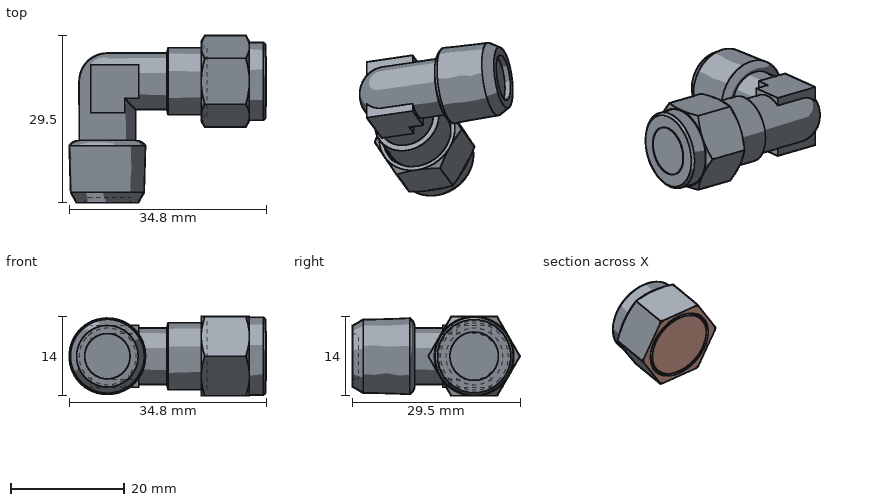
import cadquery as cq
import math


tube_radius = 5.0

pad_half_height = 5.5
pad_outer_corner = 2.95
pad_inner_corner = 3.03
pad_reach = 5.55

collar_start = 10.47
collar_radius = 5.95
collar_cone_length = 0.25

nut_start = 16.55
nut_end = 25.05
nut_across_flats = 14.0
nut_corner_diameter = nut_across_flats / math.cos(math.radians(30))
nut_chamfer_angle = 30
nose_radius = 6.9
nose_chamfer = 0.4
tip_radius = 4.28
tip_length = 0.1
nut_bore_radius = 6.3
nut_bore_depth = 1.0

spigot_start = 10.45
spigot_radius = 6.75
shoulder_arc_radius = 2.1
taper_end = 19.58
taper_end_radius = 6.5
spigot_end = 21.45
spigot_tip_radius = 5.43
recess_radius = 4.0
recess_depth = 1.0

overall_length = 34.78
tip_end = overall_length - spigot_radius
nose_end = tip_end - tip_length


def x_cylinder(radius, start, end):
    return cq.Workplane("YZ", origin=(start, 0, 0)).circle(radius).extrude(end - start)


def make_elbow():
    x_tube = x_cylinder(tube_radius, 0, collar_start)
    y_tube = cq.Workplane("XZ").circle(tube_radius).extrude(spigot_start)
    return x_tube.union(y_tube).union(cq.Workplane("XY").sphere(tube_radius))


def make_pads():
    outline = [
        (-pad_outer_corner, pad_outer_corner),
        (pad_reach, pad_outer_corner),
        (pad_reach, -pad_inner_corner),
        (pad_inner_corner, -pad_inner_corner),
        (pad_inner_corner, -pad_reach),
        (-pad_outer_corner, -pad_reach),
    ]
    return cq.Workplane("XY").polyline(outline).close().extrude(pad_half_height, both=True)


def make_nut():
    flat_radius = nut_across_flats / 2
    corner_radius = nut_corner_diameter / 2
    chamfer_length = (corner_radius - flat_radius) * math.tan(math.radians(nut_chamfer_angle))
    hexagon = (
        cq.Workplane("YZ", origin=(nut_start, 0, 0))
        .polygon(6, nut_corner_diameter)
        .extrude(nut_end - nut_start)
    )
    cone_outline = [
        (nut_start, 0),
        (nut_start, flat_radius),
        (nut_start + chamfer_length, corner_radius),
        (nut_end - chamfer_length, corner_radius),
        (nut_end, flat_radius),
        (nut_end, 0),
    ]
    cones = cq.Workplane("XY").polyline(cone_outline).close().revolve(360, (0, 0, 0), (1, 0, 0))
    nose = x_cylinder(nose_radius, nut_end, nose_end).faces(">X").chamfer(nose_chamfer)
    tip = x_cylinder(tip_radius, nose_end, tip_end)
    bore = x_cylinder(nut_bore_radius, nut_start, nut_start + nut_bore_depth)
    return hexagon.intersect(cones).union(nose).union(tip).cut(bore)


def make_spigot():
    def shoulder_y(radius):
        return -spigot_start - shoulder_arc_radius + math.sqrt(
            shoulder_arc_radius**2 - (radius - tube_radius) ** 2
        )

    shoulder_middle = (tube_radius + spigot_radius) / 2
    body = (
        cq.Workplane("XY")
        .moveTo(0, -spigot_start)
        .lineTo(tube_radius, -spigot_start)
        .threePointArc(
            (shoulder_middle, shoulder_y(shoulder_middle)),
            (spigot_radius, shoulder_y(spigot_radius)),
        )
        .lineTo(taper_end_radius, -taper_end)
        .lineTo(spigot_tip_radius, -spigot_end)
        .lineTo(0, -spigot_end)
        .close()
        .revolve(360, (0, 0, 0), (0, 1, 0))
    )
    recess = (
        cq.Workplane("XZ", origin=(0, recess_depth - spigot_end, 0))
        .circle(recess_radius)
        .extrude(recess_depth)
    )
    return body.cut(recess)


def make_collar():
    outline = [
        (collar_start, 0),
        (collar_start, tube_radius),
        (collar_start + collar_cone_length, collar_radius),
        (nut_start + nut_bore_depth, collar_radius),
        (nut_start + nut_bore_depth, 0),
    ]
    return cq.Workplane("XY").polyline(outline).close().revolve(360, (0, 0, 0), (1, 0, 0))


result = make_elbow().union(make_pads()).union(make_collar()).union(make_nut()).union(make_spigot())